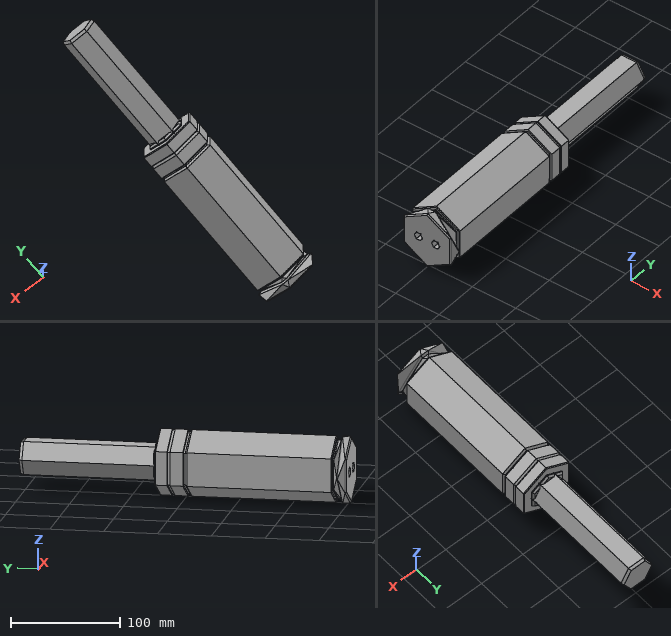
import cadquery as cq
import math

TOTAL_LENGTH = 306.0

SIDES = 6
CORNER_UP = 90.0
CORNER_SIDEWAYS = 0.0

BODY_RADIUS = 31.5

FOOT_FACE_RADIUS = 30.0
FOOT_CHAMFER_LENGTH = 1.2
RIM_Y = 7.5
RIM_HALF_WIDTH = 10.25
RIM_HALF_HEIGHT = 10.25
RIM_SIDE_DROP = 0.7
RIM_TOP_HALF_EDGE = 1.4
RIM_BOTTOM_HALF_EDGE = 1.1

NECK_RADIUS = 27.8
NECK_FRONT_Y = 9.0
NECK_FLARE_Y = 12.2

HOLE_RADIUS = 4.5
HOLE_SPACING = 20.0
HOLE_DEPTH = 12.2
HOLE_TIP_LENGTH = 2.5

TUBE_FRONT_Y = 13.5
TUBE_CHAMFER = 1.0
TUBE_SHOULDER_Y = 148.0
TUBE_SHOULDER_LENGTH = 1.8
GROOVE_RADIUS = 29.0

RING_FRONT_Y = 151.8
RING_BEVEL_LENGTH = 2.8
RING_BEVEL_DEPTH = 1.5

CAP_FRONT_Y = 166.5
CAP_BACK_Y = 178.0
CAP_CHAMFER = 1.0

WIPER_BASE_RADIUS = 21.0
WIPER_TIP_RADIUS = 19.3
WIPER_BASE_LENGTH = 1.0
WIPER_LENGTH = 3.0

ROD_RADIUS = 18.0
ROD_CHAMFER_LENGTH = 3.0
ROD_CHAMFER_DEPTH = 1.2


def ring_at(y, corners):
    """Sets (x, z) corners in the plane at y."""
    return [cq.Vector(x, y, z) for x, z in corners]


def hexagon(y, radius, first_angle=CORNER_UP, x_centre=0.0):
    """The corners of a regular hexagon in the plane at y, going from +X toward +Z."""
    angles = [math.radians(first_angle + 360.0 / SIDES * i) for i in range(SIDES)]
    return ring_at(y, [(x_centre + radius * math.cos(a), radius * math.sin(a)) for a in angles])


def flat_face(corners):
    return cq.Face.makeFromWires(cq.Wire.makePolygon(corners, close=True))


def straight_band(ring, other):
    """Four-sided faces joining equal-numbered corners of two rings."""
    return [flat_face([ring[i - 1], ring[i], other[i], other[i - 1]]) for i in range(SIDES)]


def twisted_band(ring, other):
    """Triangles joining two rings, where each corner of other lies beside an edge of ring."""
    faces = []
    for i in range(SIDES):
        faces.append(flat_face([ring[i - 1], ring[i], other[i - 1]]))
        faces.append(flat_face([ring[i], other[i], other[i - 1]]))
    return faces


def solid_from(faces):
    return cq.Workplane(obj=cq.Solid.makeSolid(cq.Shell.makeShell(faces))).clean()


def hex_stack(sections, first_angle=CORNER_UP):
    """A solid along Y through coaxial hexagons given as (y, radius) pairs."""
    rings = [hexagon(y, radius, first_angle) for y, radius in sections]
    faces = [flat_face(rings[0]), flat_face(rings[-1])]
    for ring, following in zip(rings, rings[1:]):
        faces += straight_band(ring, following)
    return solid_from(faces)


def rim_outline(y, scale=3.0):
    """The flange's irregular six-sided rim, each corner beside an edge of the upright hexagon."""
    corners = [
        (-RIM_TOP_HALF_EDGE, RIM_HALF_HEIGHT),
        (-RIM_HALF_WIDTH, -RIM_SIDE_DROP),
        (-RIM_BOTTOM_HALF_EDGE, -RIM_HALF_HEIGHT),
        (RIM_BOTTOM_HALF_EDGE, -RIM_HALF_HEIGHT),
        (RIM_HALF_WIDTH, -RIM_SIDE_DROP),
        (RIM_TOP_HALF_EDGE, RIM_HALF_HEIGHT),
    ]
    return ring_at(y, [(scale * x, scale * z) for x, z in corners])


def make_mounting_hole(x_centre):
    """A blind six-sided hole with a pointed bottom."""
    mouth = hexagon(0.0, HOLE_RADIUS, CORNER_SIDEWAYS, x_centre)
    bottom = hexagon(HOLE_DEPTH, HOLE_RADIUS, CORNER_SIDEWAYS, x_centre)
    tip = cq.Vector(x_centre, HOLE_DEPTH + HOLE_TIP_LENGTH, 0.0)
    point = [flat_face([bottom[i - 1], bottom[i], tip]) for i in range(SIDES)]
    return solid_from([flat_face(mouth)] + straight_band(mouth, bottom) + point)


def make_foot():
    face = hexagon(0.0, FOOT_FACE_RADIUS)
    chamfer_edge = hexagon(FOOT_CHAMFER_LENGTH, BODY_RADIUS)
    rim = rim_outline(RIM_Y)
    neck_front = rim_outline(NECK_FRONT_Y, NECK_RADIUS / RIM_HALF_WIDTH)
    neck_flare = hexagon(NECK_FLARE_Y, NECK_RADIUS)
    neck_back = hexagon(TUBE_FRONT_Y, NECK_RADIUS)
    faces = [flat_face(face), flat_face(neck_back)]
    faces += straight_band(face, chamfer_edge)
    faces += twisted_band(chamfer_edge, rim)
    faces += straight_band(rim, neck_front)
    faces += twisted_band(neck_flare, neck_front)
    faces += straight_band(neck_flare, neck_back)
    foot = solid_from(faces)
    for side in (-1, 1):
        foot = foot.cut(make_mounting_hole(side * HOLE_SPACING / 2))
    return foot.solids()


def make_tube():
    return hex_stack([
        (TUBE_FRONT_Y, BODY_RADIUS - TUBE_CHAMFER),
        (TUBE_FRONT_Y + TUBE_CHAMFER, BODY_RADIUS),
        (TUBE_SHOULDER_Y, BODY_RADIUS),
        (TUBE_SHOULDER_Y + TUBE_SHOULDER_LENGTH, GROOVE_RADIUS),
        (RING_FRONT_Y, GROOVE_RADIUS),
    ])


def make_rod():
    return hex_stack(
        [
            (RING_FRONT_Y, ROD_RADIUS),
            (TOTAL_LENGTH - ROD_CHAMFER_LENGTH, ROD_RADIUS),
            (TOTAL_LENGTH, ROD_RADIUS - ROD_CHAMFER_DEPTH),
        ],
        CORNER_SIDEWAYS,
    )


def make_ring(rod):
    ring = hex_stack([
        (RING_FRONT_Y, BODY_RADIUS),
        (CAP_FRONT_Y - RING_BEVEL_LENGTH, BODY_RADIUS),
        (CAP_FRONT_Y, BODY_RADIUS - RING_BEVEL_DEPTH),
    ])
    return ring.cut(rod).solids()


def make_cap(rod):
    cap = hex_stack([
        (CAP_FRONT_Y, BODY_RADIUS),
        (CAP_BACK_Y - CAP_CHAMFER, BODY_RADIUS),
        (CAP_BACK_Y, BODY_RADIUS - CAP_CHAMFER),
    ])
    return cap.cut(rod).solids()


def make_wiper(rod):
    wiper = hex_stack([
        (CAP_BACK_Y, WIPER_BASE_RADIUS),
        (CAP_BACK_Y + WIPER_BASE_LENGTH, WIPER_BASE_RADIUS),
        (CAP_BACK_Y + WIPER_LENGTH, WIPER_TIP_RADIUS),
    ])
    return wiper.cut(rod).solids()


foot = make_foot()
tube = make_tube()
rod = make_rod()
ring = make_ring(rod)
cap = make_cap(rod)
wiper = make_wiper(rod)

result = cq.Compound.makeCompound([
    foot.val(),
    tube.val(),
    rod.val(),
    ring.val(),
    cap.val(),
    wiper.val(),
])